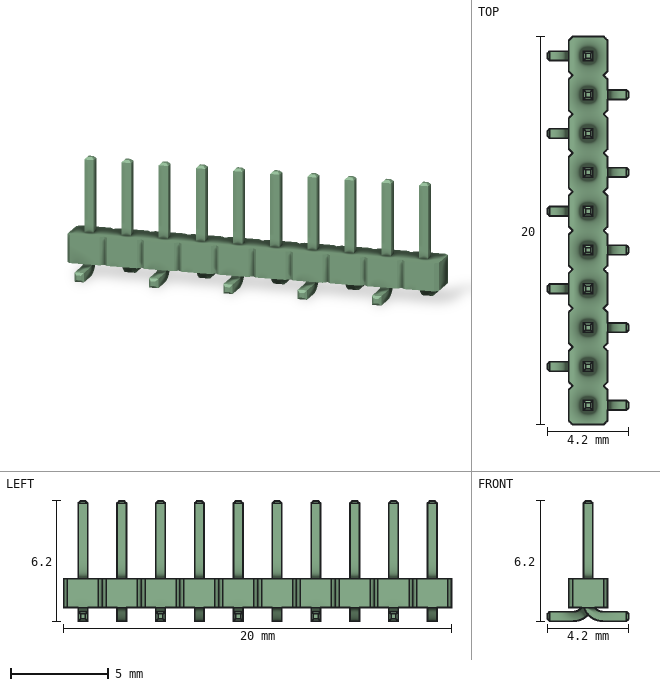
import cadquery as cq

pin_count = 10
pitch = 2.0

body_width = 2.0
body_height = 1.5
body_chamfer = 0.2
standoff = 0.7

pin_size = 0.5
pin_exposed_height = 4.0
tip_chamfer = 0.125
lead_reach = 2.1
bend_inner_radius = 0.5

row_length = pin_count * pitch
body_top = standoff + body_height
pin_top = body_top + pin_exposed_height


def pin_y(index):
    """Y position of a pin, counted from the +Y end of the row."""
    return row_length / 2 - pitch * (index + 0.5)


def make_body():
    """Row of chamfered blocks that touch, leaving a V-notch between neighbours."""
    body = cq.Workplane("XY")
    for index in range(pin_count):
        block = (
            cq.Workplane("XY")
            .box(body_width, pitch, body_height, centered=(True, True, False))
            .edges("|Z")
            .chamfer(body_chamfer)
            .translate((0, pin_y(index), standoff))
        )
        body = body.union(block)
    return body


def make_pin():
    """Square pin on the Z axis, bent at the bottom into a lead pointing to -X."""
    half_size = pin_size / 2
    bend_outer_radius = bend_inner_radius + pin_size
    bend_x = -half_size - bend_inner_radius
    bend_z = bend_outer_radius
    pin = (
        cq.Workplane("XZ")
        .moveTo(-lead_reach, 0)
        .lineTo(bend_x, 0)
        .radiusArc((half_size, bend_z), -bend_outer_radius)
        .lineTo(half_size, pin_top)
        .lineTo(-half_size, pin_top)
        .lineTo(-half_size, bend_z)
        .radiusArc((bend_x, pin_size), bend_inner_radius)
        .lineTo(-lead_reach, pin_size)
        .close()
        .extrude(half_size, both=True)
    )
    pin = pin.faces(">Z").chamfer(tip_chamfer)
    return pin.faces("<X").chamfer(tip_chamfer)


left_pin = make_pin()
right_pin = left_pin.rotate((0, 0, 0), (0, 0, 1), 180)

result = make_body()
for pin_index in range(pin_count):
    pin_shape = left_pin if pin_index % 2 == 0 else right_pin
    result = result.union(pin_shape.translate((0, pin_y(pin_index), 0)))